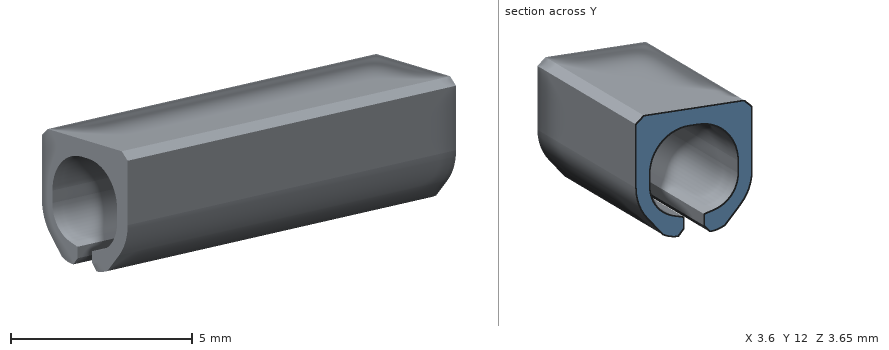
import cadquery as cq
import math

width = 3.6
length = 12.0
height = 3.65

chamfer_width = 0.25
chamfer_height = 0.22
shoulder_top = 1.59
shoulder_radius = 1.4
flank_angle = math.radians(48)
flank_bottom = 0.12

bore_half_width = 1.36
roof_thickness = 0.5
upper_radius = 1.22
lower_radius = 0.98
lower_centre = 1.575
lip_floor_angle = math.radians(15)

slot_width = 0.61
lip_bevel_width = 0.18
lip_bevel_height = 0.21
lip_arc_sag = 0.03


def point_on_circle(centre, radius, angle):
    """Point at an angle (radians from +X) on a circle in the XZ plane."""
    return (
        centre[0] + radius * math.cos(angle),
        centre[1] + radius * math.sin(angle),
    )


def midpoint_below(start, end, sag):
    """Middle of the chord from start to end, moved by sag to its lower outer side."""
    run = end[0] - start[0]
    rise = end[1] - start[1]
    chord = math.hypot(run, rise)
    middle_x = (start[0] + end[0]) / 2
    middle_z = (start[1] + end[1]) / 2
    return (middle_x - rise / chord * sag, middle_z + run / chord * sag)


def half_profile():
    """Closed section of the +X half, bounded by the plane of symmetry."""
    half_width = width / 2
    half_slot = slot_width / 2
    roof = height - roof_thickness

    shoulder_centre = (half_width - shoulder_radius, shoulder_top)
    shoulder_sweep = math.pi / 2 - flank_angle
    shoulder_middle = point_on_circle(shoulder_centre, shoulder_radius, -shoulder_sweep / 2)
    shoulder_end = point_on_circle(shoulder_centre, shoulder_radius, -shoulder_sweep)

    flank_drop = shoulder_end[1] - flank_bottom
    flank_end = (shoulder_end[0] - flank_drop / math.tan(flank_angle), flank_bottom)
    lip_tip = (half_slot + lip_bevel_width, 0)
    lip_middle = midpoint_below(flank_end, lip_tip, lip_arc_sag)

    lower_arc_centre = (bore_half_width - lower_radius, lower_centre)
    floor_normal = lip_floor_angle - math.pi / 2
    floor_start = point_on_circle(lower_arc_centre, lower_radius, floor_normal)
    lower_middle = point_on_circle(lower_arc_centre, lower_radius, floor_normal / 2)
    floor_drop = (floor_start[0] - half_slot) * math.tan(lip_floor_angle)
    lip_edge = (half_slot, floor_start[1] - floor_drop)

    upper_arc_centre = (bore_half_width - upper_radius, roof - upper_radius)
    upper_middle = point_on_circle(upper_arc_centre, upper_radius, math.pi / 4)

    return (
        cq.Workplane("XZ", origin=(0, length / 2, 0))
        .moveTo(0, height)
        .lineTo(half_width - chamfer_width, height)
        .lineTo(half_width, height - chamfer_height)
        .lineTo(half_width, shoulder_top)
        .threePointArc(shoulder_middle, shoulder_end)
        .lineTo(*flank_end)
        .threePointArc(lip_middle, lip_tip)
        .lineTo(half_slot, lip_bevel_height)
        .lineTo(*lip_edge)
        .lineTo(*floor_start)
        .threePointArc(lower_middle, (bore_half_width, lower_centre))
        .lineTo(bore_half_width, upper_arc_centre[1])
        .threePointArc(upper_middle, (upper_arc_centre[0], roof))
        .lineTo(0, roof)
        .close()
    )


def sleeve():
    """Extrude the half section along Y and mirror it into the full part."""
    half = half_profile().extrude(length)
    return half.union(half.mirror("YZ")).clean()


result = sleeve()